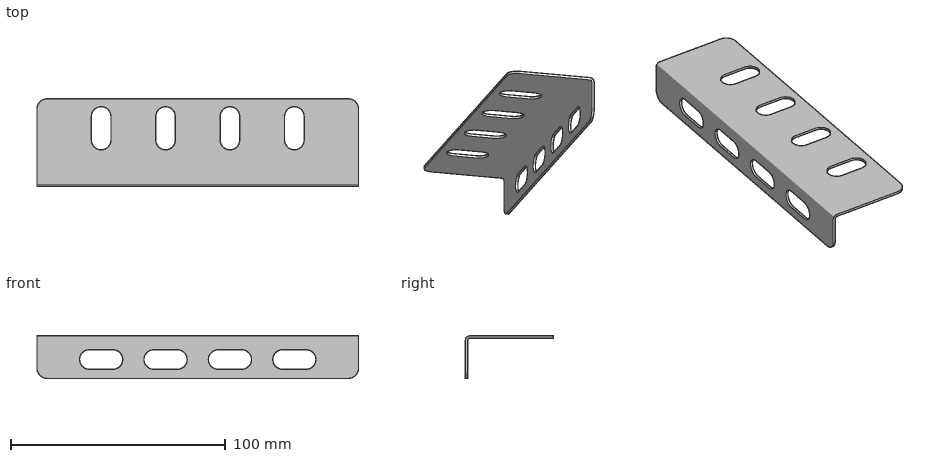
import cadquery as cq

length = 150.0
depth = 41.0
height = 20.0

thickness = 1.2
bend_inner_radius = 1.0
bend_outer_radius = bend_inner_radius + thickness
corner_radius = 5.0

slot_count = 4
slot_pitch = 30.0
slot_length = 20.0
slot_width = 9.0
top_slot_setback = 25.0
top_slot_y = bend_outer_radius + top_slot_setback
front_slot_z = -(bend_outer_radius + height) / 2
cut_reach = 2 * thickness


def make_bent_sheet():
    """L profile in the YZ plane, centred along X, with its outer corner at the origin."""
    profile = (
        cq.Workplane("YZ")
        .moveTo(depth, 0)
        .lineTo(bend_outer_radius, 0)
        .radiusArc((0, -bend_outer_radius), -bend_outer_radius)
        .lineTo(0, -height)
        .lineTo(thickness, -height)
        .lineTo(thickness, -bend_outer_radius)
        .radiusArc((bend_outer_radius, -thickness), bend_inner_radius)
        .lineTo(depth, -thickness)
        .close()
    )
    return profile.extrude(length / 2, both=True)


def round_free_corners(sheet):
    """Round the two free corners of each flange."""
    sheet = sheet.faces(">Y").edges("|Z").fillet(corner_radius)
    return sheet.faces("<Z").edges("|Y").fillet(corner_radius)


def slot_row(plane, across, angle):
    """Slot cutters in a row along X.

    `across` is the local Y of the row; `angle` turns each slot away from X, in degrees.
    """
    first_x = -slot_pitch * (slot_count - 1) / 2
    centres = [(first_x + i * slot_pitch, across) for i in range(slot_count)]
    return (
        cq.Workplane(plane)
        .pushPoints(centres)
        .slot2D(slot_length, slot_width, angle)
        .extrude(cut_reach, both=True)
    )


bracket = round_free_corners(make_bent_sheet())
top_slots = slot_row("XY", top_slot_y, 90)
front_slots = slot_row("XZ", front_slot_z, 0)

result = bracket.cut(top_slots).cut(front_slots)